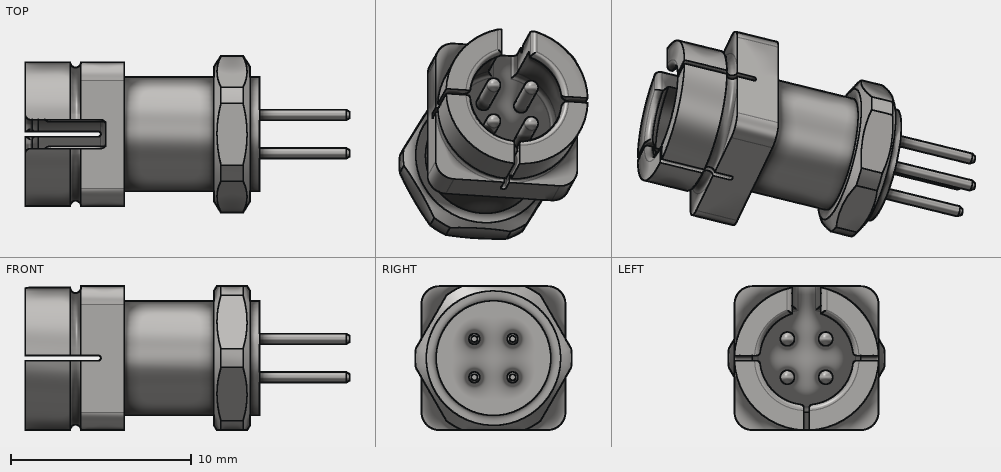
import cadquery as cq
import math


total_length = 18.0
groove_start = 2.5
flange_start = 3.1
flange_end = 5.5
nut_start = 10.45
nut_thickness = 2.02
body_end = 13.0

flange_width = 8.0
flange_corner_radius = 1.0
collar_radius = flange_width / 2
groove_radius = (flange_start - groove_start) / 2
body_radius = 6.35 / 2

cavity_radius = 3.0
cavity_depth = 4.48
cavity_edge_radius = 0.3
lip_radius = 2.6
lip_straight_end = 0.4
lip_cone_end = 0.72

keyway_width = 1.6
slit_width = 0.29
slit_depth = 4.2
slit_edge_radius = 0.2

contact_offset = 1.06
contact_radius = 0.77 / 2
contact_tip = 1.0
pin_radius = 0.6 / 2
pin_chamfer_length = 0.22
pin_chamfer_depth = 0.13

nut_across_flats = 8.0
nut_corner_radius = 8.7 / 2
nut_face_radius = 3.73
nut_chamfer_length = 0.4


def cylinder(start, end, radius):
    """Solid cylinder on the X axis."""
    return cq.Workplane("YZ").workplane(offset=start).circle(radius).extrude(end - start)


def make_outside():
    """Collar, square flange and long round body, with the round groove in front of the flange."""
    collar = cylinder(0, flange_start, collar_radius)
    groove = cq.Workplane("XY").center((groove_start + flange_start) / 2, collar_radius)
    groove = groove.circle(groove_radius).revolve(360, (0, -collar_radius), (1, -collar_radius))
    flange = (
        cq.Workplane("YZ")
        .workplane(offset=flange_start)
        .rect(flange_width, flange_width)
        .extrude(flange_end - flange_start)
        .edges("|X")
        .fillet(flange_corner_radius)
    )
    body = cylinder(flange_end, body_end, body_radius)
    return collar.cut(groove).union(flange).union(body)


def make_cavity():
    """Revolved cavity: rounded lip, narrow throat, cone out to the bore, and a rounded floor."""
    edge = cavity_edge_radius
    bend = edge * (1 - math.sqrt(0.5))
    return (
        cq.Workplane("XY")
        .lineTo(0, lip_radius + edge)
        .threePointArc((bend, lip_radius + bend), (edge, lip_radius))
        .lineTo(lip_straight_end, lip_radius)
        .lineTo(lip_cone_end, cavity_radius)
        .lineTo(cavity_depth - edge, cavity_radius)
        .threePointArc(
            (cavity_depth - bend, cavity_radius - bend),
            (cavity_depth, cavity_radius - edge),
        )
        .lineTo(cavity_depth, 0)
        .close()
        .revolve(360, (0, 0), (1, 0))
    )


def make_keyway():
    """Wide slot through the +Z wall, flared at the mouth and with rounded inner corners."""
    edge = cavity_edge_radius
    bend = edge * (1 - math.sqrt(0.5))
    half = keyway_width / 2
    return (
        cq.Workplane("XY")
        .moveTo(0, -half - edge)
        .threePointArc((bend, -half - bend), (edge, -half))
        .lineTo(cavity_depth - edge, -half)
        .threePointArc((cavity_depth - bend, -half + bend), (cavity_depth, -half + edge))
        .lineTo(cavity_depth, half - edge)
        .threePointArc((cavity_depth - bend, half - bend), (cavity_depth - edge, half))
        .lineTo(edge, half)
        .threePointArc((bend, half + bend), (0, half + edge))
        .close()
        .extrude(flange_width)
    )


def make_slit(angle):
    """Narrow round-ended slit through one wall; angle 0 points to +Z and turns about X."""
    half = slit_width / 2
    slot = (
        cq.Workplane("XY")
        .moveTo(0, -half)
        .lineTo(slit_depth - half, -half)
        .threePointArc((slit_depth, 0), (slit_depth - half, half))
        .lineTo(0, half)
        .close()
        .extrude(flange_width)
    )
    return slot.union(make_slit_flare()).rotate((0, 0, 0), (1, 0, 0), angle)


def make_slit_flare():
    """Rounded widening of a slit along the lip, where its walls meet the throat."""
    half = slit_width / 2
    outer_half = half + slit_edge_radius
    bend = slit_edge_radius * (1 - math.sqrt(0.5))
    throat_height = math.sqrt(lip_radius**2 - outer_half**2)
    top = throat_height + slit_edge_radius
    return (
        cq.Workplane("YZ")
        .moveTo(-outer_half, throat_height)
        .threePointArc((-half - bend, throat_height + bend), (-half, top))
        .lineTo(half, top)
        .threePointArc((half + bend, throat_height + bend), (outer_half, throat_height))
        .close()
        .extrude(lip_cone_end)
    )


def make_contact(y, z):
    """One contact: thick front pin with a ball end, thin rear pin with a chamfered end."""
    chamfer_start = total_length - pin_chamfer_length
    diagonal = contact_radius * math.sqrt(0.5)
    contact = (
        cq.Workplane("XY")
        .moveTo(contact_tip, 0)
        .threePointArc(
            (contact_tip + contact_radius - diagonal, diagonal),
            (contact_tip + contact_radius, contact_radius),
        )
        .lineTo(cavity_depth, contact_radius)
        .lineTo(cavity_depth, pin_radius)
        .lineTo(chamfer_start, pin_radius)
        .lineTo(total_length, pin_radius - pin_chamfer_depth)
        .lineTo(total_length, 0)
        .close()
        .revolve(360, (0, 0), (1, 0))
    )
    return contact.translate((0, y, z))


def make_connector():
    """Housing with its four contacts, as one solid."""
    connector = make_outside().cut(make_cavity()).cut(make_keyway())
    for angle in (90, 180, 270):
        connector = connector.cut(make_slit(angle))
    for y in (-contact_offset, contact_offset):
        for z in (-contact_offset, contact_offset):
            connector = connector.union(make_contact(y, z))
    return connector


def make_nut():
    """Hexagon nut with corners toward +Y and -Y, turned to a round and chamfered on both faces."""
    nut_end = nut_start + nut_thickness
    hexagon = (
        cq.Workplane("YZ")
        .workplane(offset=nut_start)
        .polygon(6, nut_across_flats / math.cos(math.pi / 6))
        .extrude(nut_thickness)
    )
    envelope = (
        cq.Workplane("XY")
        .moveTo(nut_start, 0)
        .lineTo(nut_start, nut_face_radius)
        .lineTo(nut_start + nut_chamfer_length, nut_corner_radius)
        .lineTo(nut_end - nut_chamfer_length, nut_corner_radius)
        .lineTo(nut_end, nut_face_radius)
        .lineTo(nut_end, 0)
        .close()
        .revolve(360, (0, 0), (1, 0))
    )
    return hexagon.intersect(envelope).cut(cylinder(nut_start, nut_end, body_radius))


connector = make_connector()
nut = make_nut()

result = cq.Compound.makeCompound([connector.val(), nut.val()])